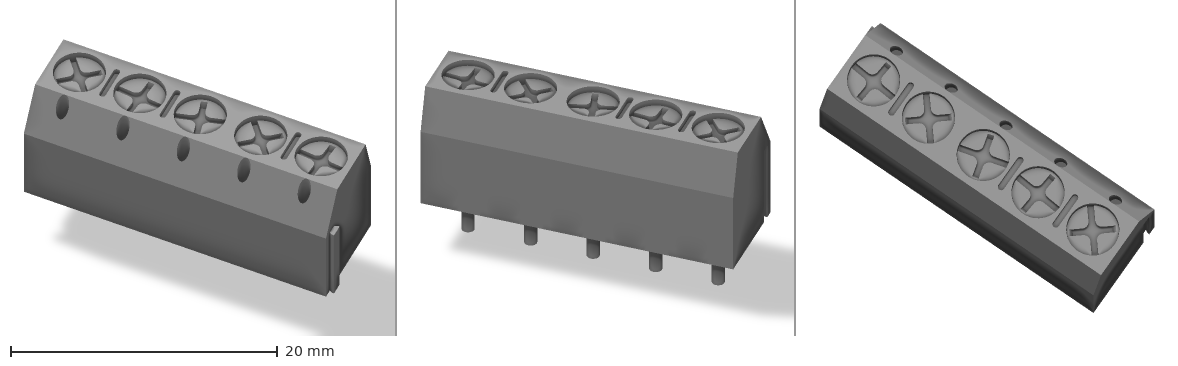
import cadquery as cq

pole_count = 5
body_length = 25.0
pitch = body_length / pole_count
body_depth = 8.0
body_height = 10.0
shoulder_height = 6.5
front_slope_run = 2.0
back_slope_run = 1.0

pin_diameter = 1.0
pin_length = 4.0
screw_y = 4.5

well_diameter = 1.0
well_depth = 3.0
well_y = front_slope_run - well_diameter / 2

screw_hole_diameter = 4.0
screw_diameter = 3.9
screw_recess = 0.5
screw_gap_depth = 0.5
screw_angles = [-50, -5, 15, -50, -5]

drive_depth = 0.5
drive_width = 0.5
drive_corner_radius = 0.5
drive_floor_radius = 0.1
short_slot_length = 3.5
short_slot_floor_length = 3.0

divider_width = 0.5
divider_length = 3.0
divider_depth = 0.5
divider_places = [1, 2, 4]

tongue_length = 0.4
tongue_lip = 0.13
tongue_root_width = 0.74
tongue_tip_width = 1.0
tongue_y = 1.05


def pole_points(y):
    """Points on the centre lines of all poles at the given Y."""
    return [((pole + 0.5) * pitch, y) for pole in range(pole_count)]


def cylinders(points, diameter, bottom, top):
    """Upright cylinders at the given points."""
    return (
        cq.Workplane("XY", origin=(0, 0, bottom))
        .pushPoints(points)
        .circle(diameter / 2)
        .extrude(top - bottom)
    )


def housing():
    """Block with a sloped front and back above the shoulders."""
    return (
        cq.Workplane("YZ")
        .polyline([
            (0, 0),
            (body_depth, 0),
            (body_depth, shoulder_height),
            (body_depth - back_slope_run, body_height),
            (front_slope_run, body_height),
            (0, shoulder_height),
        ])
        .close()
        .extrude(body_length)
    )


def dovetail_bar(outline):
    """Upright bar from the underside to the shoulder; the outline lists X and full width along Y."""
    near_side = [(x, tongue_y - width / 2) for x, width in outline]
    far_side = [(x, tongue_y + width / 2) for x, width in reversed(outline)]
    return cq.Workplane("XY").polyline(near_side + far_side).close().extrude(shoulder_height)


def tongue():
    """Bar on the +X end that widens outward and finishes with a straight lip."""
    tip_x = body_length + tongue_length
    return dovetail_bar([
        (body_length, tongue_root_width),
        (tip_x - tongue_lip, tongue_tip_width),
        (tip_x, tongue_tip_width),
    ])


def groove():
    """Cutter on the -X end with a straight mouth that then widens inward."""
    return dovetail_bar([
        (0, tongue_root_width),
        (tongue_lip, tongue_root_width),
        (tongue_length, tongue_tip_width),
    ])


def cross_drive():
    """Cutter for the cross drive, centred on the origin, with the screw head's top at Z = 0."""
    arm_span = 2 * screw_diameter
    cross = (
        cq.Workplane("XY")
        .rect(arm_span, drive_width)
        .extrude(-drive_depth)
        .union(cq.Workplane("XY").rect(drive_width, arm_span).extrude(-drive_depth))
    )
    inner_corners = cq.selectors.BoxSelector(
        (-drive_width, -drive_width, -drive_depth),
        (drive_width, drive_width, 0),
    )
    cross = cross.edges("|Z").edges(inner_corners).fillet(drive_corner_radius)
    cross = cross.faces("<Z").edges().fillet(drive_floor_radius)

    short_slot_ends = (
        cq.Workplane("YZ")
        .polyline([
            (-short_slot_length / 2, 0),
            (short_slot_length / 2, 0),
            (short_slot_floor_length / 2, -drive_depth),
            (-short_slot_floor_length / 2, -drive_depth),
        ])
        .close()
        .extrude(arm_span, both=True)
    )
    rim = cylinders([(0, 0)], screw_diameter, -drive_depth, 0)
    return cross.intersect(short_slot_ends).intersect(rim)


def screw_holes():
    """Cutter for the screw recesses and the narrow gap around each screw head."""
    points = pole_points(screw_y)
    head_top = body_height - screw_recess
    holes = cylinders(points, screw_hole_diameter, head_top - screw_gap_depth, body_height)
    heads = cylinders(points, screw_diameter, head_top - screw_gap_depth, head_top)
    return holes.cut(heads)


def divider_slots():
    """Cutter for the round-ended slots between poles."""
    return (
        cq.Workplane("XY", origin=(0, 0, body_height))
        .pushPoints([(place * pitch, screw_y) for place in divider_places])
        .slot2D(divider_length, divider_width, angle=90)
        .extrude(-divider_depth)
    )


result = housing().union(tongue()).cut(groove())
result = result.union(cylinders(pole_points(screw_y), pin_diameter, -pin_length, 0))
well_floor = body_height - well_depth
result = result.cut(cylinders(pole_points(well_y), well_diameter, well_floor, body_height))
result = result.cut(divider_slots())
result = result.cut(screw_holes())

drive = cross_drive()
for (x, y), angle in zip(pole_points(screw_y), screw_angles):
    turned_drive = drive.rotate((0, 0, 0), (0, 0, 1), angle)
    result = result.cut(turned_drive.translate((x, y, body_height - screw_recess)))